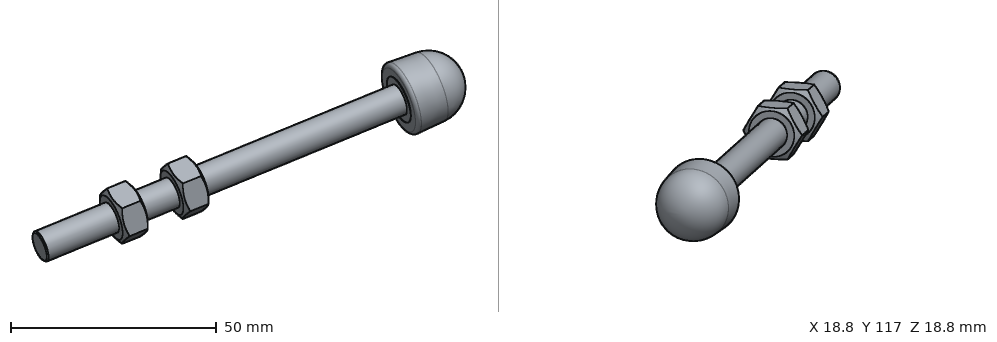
import cadquery as cq
import math

total_length = 117.0
tip_y = -total_length / 2
dome_top_y = total_length / 2

rod_diameter = 8.0
tip_chamfer = 0.4

cap_diameter = 18.8
cap_length = 17.3
cap_base_y = dome_top_y - cap_length
dome_radius = 9.07
base_rounding = 1.0
insert_diameter = 12.0
insert_recess = 0.1

nut_across_flats = 13.0
nut_thickness = 7.0
nut_face_diameter = 11.6
nut_chamfer_angle = 30.0
nut_offsets_from_tip = (19.9, 36.7)


def make_rod():
    """Plain round rod with a chamfered tip, reaching into the cap."""
    rod_length = cap_base_y + cap_length / 2 - tip_y
    rod = cq.Workplane("XZ", origin=(0, tip_y, 0)).circle(rod_diameter / 2).extrude(-rod_length)
    return rod.faces("<Y").chamfer(tip_chamfer)


def make_cap():
    """Tapered cap with a tangent spherical dome and a rounded base edge."""
    base_radius = cap_diameter / 2
    dome_center_y = dome_top_y - dome_radius
    wall_start_y = cap_base_y + base_rounding

    wall_drop = dome_center_y - wall_start_y
    start_distance = math.hypot(base_radius, wall_drop)
    tangent_angle = math.acos(dome_radius / start_distance) - math.atan2(wall_drop, base_radius)
    middle_angle = (tangent_angle + math.pi / 2) / 2

    def dome_point(angle):
        return (dome_radius * math.cos(angle), dome_center_y + dome_radius * math.sin(angle))

    rounding_middle = base_rounding * math.sqrt(0.5)
    rounding_center_x = base_radius - base_rounding
    profile = (
        cq.Workplane("XY")
        .moveTo(0, cap_base_y)
        .lineTo(rounding_center_x, cap_base_y)
        .threePointArc(
            (rounding_center_x + rounding_middle, wall_start_y - rounding_middle),
            (base_radius, wall_start_y),
        )
        .lineTo(*dome_point(tangent_angle))
        .threePointArc(dome_point(middle_angle), (0, dome_top_y))
        .close()
    )
    cap = profile.revolve(360, (0, 0, 0), (0, 1, 0))

    recess = (
        cq.Workplane("XZ", origin=(0, cap_base_y, 0))
        .circle(insert_diameter / 2)
        .extrude(-insert_recess)
    )
    return cap.cut(recess)


def make_nut(offset_from_tip):
    """Hexagonal nut, corners along X, with both faces chamfered conically."""
    corner_radius = nut_across_flats / math.sqrt(3)
    face_radius = nut_face_diameter / 2
    chamfer_height = (corner_radius - face_radius) * math.tan(math.radians(nut_chamfer_angle))
    start_y = tip_y + offset_from_tip
    end_y = start_y + nut_thickness

    hexagon = (
        cq.Workplane("XZ", origin=(0, start_y, 0))
        .polygon(6, 2 * corner_radius)
        .extrude(-nut_thickness)
    )
    chamfer_envelope = (
        cq.Workplane("XY")
        .polyline([
            (0, start_y),
            (face_radius, start_y),
            (corner_radius, start_y + chamfer_height),
            (corner_radius, end_y - chamfer_height),
            (face_radius, end_y),
            (0, end_y),
        ])
        .close()
        .revolve(360, (0, 0, 0), (0, 1, 0))
    )
    return hexagon.intersect(chamfer_envelope)


result = make_rod().union(make_cap())
for nut_offset in nut_offsets_from_tip:
    result = result.union(make_nut(nut_offset))